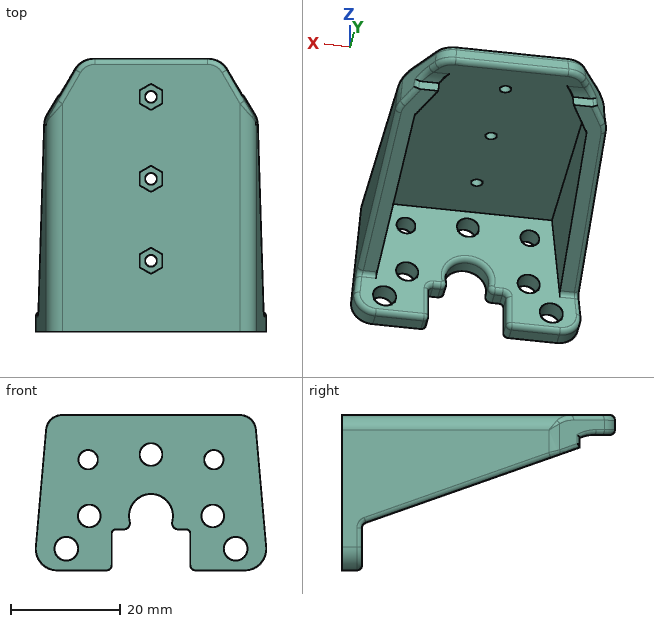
import cadquery as cq
import math

bottom_width = 42.23
length = 50.0
height = 28.5
wall = 3.7
rim_radius = 1.0

side_draft = math.radians(5)
foot_corner_radius = 4.0
top_corner_radius = 3.0

bevel_start_y = 38.9
bevel_angle = math.radians(30)
nose_corner_radius = 4.0

heel_z = 8.5
heel_radius = 1.0
toe_y = 43.5
toe_z = 22.5
ledge_start_y = 46.0
ledge_radius = 6.0

notch_half_width = 7.18
notch_height = 7.5
notch_top_radius = 0.7
notch_foot_radius = 1.0
arch_z = 10.0
arch_radius = 4.0
arch_lip_radius = 1.2

centre_hole = (0.0, 21.25, 4.1)
paired_holes = [(11.5, 20.3, 3.5), (11.3, 10.0, 4.1), (15.5, 4.0, 4.3)]

first_nut_y = 13.0
nut_pitch = 15.0
nut_count = 3
nut_across_flats = 4.15
nut_depth = 1.7
screw_diameter = 2.1

shelf_z = height - wall
foot_centre_x = bottom_width / 2 - foot_corner_radius
half_bevel_angle = bevel_angle / 2


def side_x(z):
    """Half width of the drafted side faces at height z."""
    reach = foot_corner_radius / math.cos(side_draft)
    return foot_centre_x + reach - (z - foot_corner_radius) * math.tan(side_draft)


def plan_section(z, inset):
    """Bevelled plan outline at height z, with sides and bevels moved inward by inset."""
    side = side_x(z) - inset
    corner_y = bevel_start_y - inset * math.tan(half_bevel_angle)
    nose = side - (length - corner_y) * math.tan(bevel_angle)
    right = [(side, 0), (side, corner_y), (nose, length)]
    left = [(-x, y) for x, y in reversed(right)]
    return right + left


def drafted_prism(bottom_z, top_z, inset):
    """Solid between two plan sections; sides and bevels lean inward with height."""
    return (
        cq.Workplane("XY", origin=(0, 0, bottom_z))
        .polyline(plan_section(bottom_z, inset))
        .close()
        .workplane(offset=top_z - bottom_z)
        .polyline(plan_section(top_z, inset))
        .close()
        .loft(ruled=True)
    )


def upright_edges(body, min_y, max_y):
    """Nearly vertical edges whose middle lies between two Y values."""
    def is_upright(edge):
        return abs(edge.tangentAt(0).z) > math.sqrt(0.5)

    edges = [e for e in body.edges().vals() if is_upright(e) and min_y < e.Center().y < max_y]
    return body.newObject(edges)


def rounded_trapezoid():
    """Plate outline with rounded corners, carried along the whole length."""
    low = side_x(0)
    high = side_x(height)
    return (
        cq.Workplane("XZ")
        .polyline([(-low, 0), (low, 0), (high, height), (-high, height)])
        .close()
        .extrude(-length)
        .edges("|Y and >Z")
        .fillet(top_corner_radius)
        .edges("|Y and <Z")
        .fillet(foot_corner_radius)
    )


def side_contour():
    """Plate, sloped rim, ledge and shelf as one profile, carried across the width."""
    def ledge_point(angle):
        y = ledge_start_y - ledge_radius * math.sin(angle)
        return (y, shelf_z - ledge_radius * (1 - math.cos(angle)))

    arc_angle = math.asin((ledge_start_y - toe_y) / ledge_radius)
    profile = (
        cq.Workplane("YZ")
        .moveTo(0, 0)
        .lineTo(wall, 0)
        .lineTo(wall, heel_z)
        .lineTo(toe_y, toe_z)
        .lineTo(*ledge_point(arc_angle))
        .threePointArc(ledge_point(arc_angle / 2), ledge_point(0))
        .lineTo(length, shelf_z)
        .lineTo(length, height)
        .lineTo(0, height)
        .close()
        .extrude(bottom_width, both=True)
    )
    heel_point = (0, wall, heel_z)
    return profile.edges(cq.selectors.NearestToPointSelector(heel_point)).fillet(heel_radius)


def raw_body():
    """Bracket with rounded nose and side edges, sharp along the lower rim."""
    body = drafted_prism(0, height, 0)
    for min_y, max_y in [(ledge_start_y, length + wall), (wall, ledge_start_y)]:
        body = upright_edges(body, min_y, max_y).fillet(nose_corner_radius)
    body = body.intersect(rounded_trapezoid()).intersect(side_contour())
    return body.edges(">Y").edges(">Z").fillet(rim_radius)


def inner_pocket():
    """Hollow below the shelf and behind the plate, open downward and at the nose."""
    behind_plate = (
        cq.Workplane("XZ", origin=(0, wall, 0))
        .rect(2 * bottom_width, 2 * height)
        .extrude(-length)
    )
    return drafted_prism(0, shelf_z, wall).intersect(behind_plate)


def notch():
    """Cutter for the notch, open at the foot, with an arch above and rounded corners."""
    opening = (
        cq.Workplane("XZ")
        .rect(2 * notch_half_width, 2 * notch_height)
        .extrude(-wall)
    )
    arch = cq.Workplane("XZ").center(0, arch_z).circle(arch_radius).extrude(-wall)
    flange = (
        cq.Workplane("XZ")
        .center(0, -notch_height)
        .rect(bottom_width, 2 * notch_height)
        .extrude(-wall)
    )
    arch_foot_x = math.sqrt(arch_radius**2 - (arch_z - notch_height) ** 2)
    corners = [
        (notch_half_width, notch_height, notch_top_radius),
        (arch_foot_x, notch_height, arch_lip_radius),
        (notch_half_width, 0, notch_foot_radius),
    ]
    cutter = opening.union(arch).union(flange)
    for x, z, radius in corners:
        for side in (-1, 1):
            nearest = cq.selectors.NearestToPointSelector((side * x, wall / 2, z))
            cutter = cutter.edges(nearest).fillet(radius)
    return cutter


def round_rim(body):
    """Round the lower rim: shelf nose, side walls, foot and the back of the notch."""
    shelf_edge = body.faces(">Y").edges("<Z")
    foot_edges = body.faces("<Z").edges(">Y")
    toe_edges = upright_edges(body, toe_y - rim_radius / 4, toe_y + rim_radius / 4)
    min_outer_x = side_x(toe_z) - wall
    toe_edges = toe_edges.filter(lambda edge: abs(edge.Center().x) > min_outer_x)
    return shelf_edge.add(foot_edges).add(toe_edges).fillet(rim_radius)


def plate_holes():
    """Cutters for the round holes through the plate."""
    mirrored = [(-x, z, diameter) for x, z, diameter in paired_holes]
    cutters = cq.Workplane("XZ")
    for x, z, diameter in [centre_hole] + paired_holes + mirrored:
        cutters = cutters.add(cq.Workplane("XZ").center(x, z).circle(diameter / 2).extrude(-wall))
    return cutters.combine()


def nut_seats():
    """Cutters for the screw holes and hexagonal nut pockets in the shelf."""
    across_corners = nut_across_flats / math.cos(math.radians(30))
    shelf_top = cq.Plane(origin=(0, 0, height), xDir=(0, 1, 0), normal=(0, 0, 1))
    places = [(first_nut_y + i * nut_pitch, 0) for i in range(nut_count)]
    seats = cq.Workplane(shelf_top).pushPoints(places)
    screws = seats.circle(screw_diameter / 2).extrude(-wall)
    nuts = seats.polygon(6, across_corners).extrude(-nut_depth)
    return screws.union(nuts)


result = round_rim(raw_body().cut(inner_pocket()).cut(notch()))
result = result.cut(plate_holes()).cut(nut_seats())